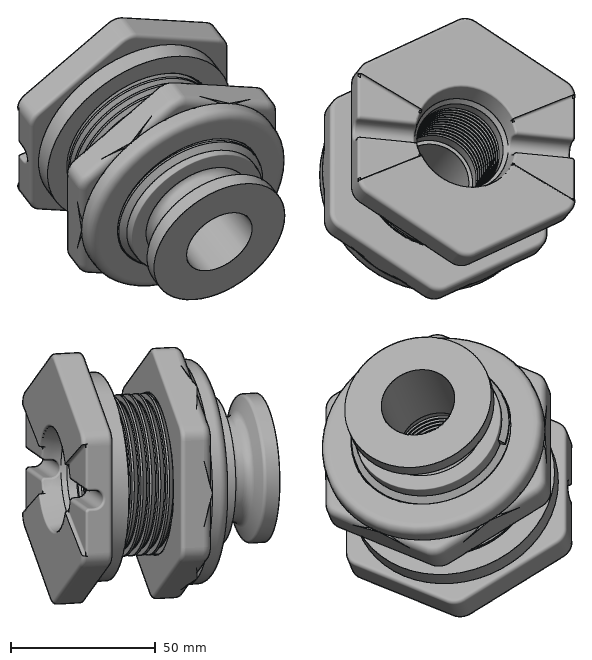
import cadquery as cq
import math

across_flats = 77.95
corner_height = 88.1
hex_thickness = 11.0
edge_round = 1.5
overlap = 0.4

recess_depth = 1.3
recess_half_angle = 27.0
recess_round = 0.9
slot_radius = 3.2
slot_depth = 7.6
slot_lip_round = 1.3

fitting_length = 74.6
shank_radius = 51.8 / 2
shank_end = 58.8
shank_end_round = 0.35
neck_radius = 36.55 / 2
neck_start = 62.0
neck_end = 64.0
neck_start_round = 3.5
neck_end_round = 3.2
flange_slope = 69.0
flange_round = 1.3

thread_height = 2.1
thread_pitch = 3.2
thread_crest_width = 0.8
thread_foot_width = 3.1
thread_start = 13.7
thread_turns = 12.8

bore_radius = 25.9 / 2
mouth_round = 0.8
mouth_radius = 36.55 / 2
mouth_floor_radius = 33.65 / 2
mouth_depth = 7.9
lead_in_radius = 31.0 / 2
lead_in_length = 1.8
pipe_end_radius = 28.6 / 2
pipe_end = 44.0
pipe_run_out = 2.6
pipe_pitch = 2.2
pipe_groove_depth = 1.1
pipe_groove_width = 1.9

gasket_radius = 72.4 / 2
gasket_bore_radius = 57.2 / 2
gasket_thickness = 6.4

nut_start = 35.7
nut_bore_radius = 56.55 / 2
nut_rear_round = 3.0
nut_collar_length = 6.25
nut_collar_round = 3.2
nut_pad_half_width = 11.45


def cylinder(radius, start, length):
    """Solid cylinder along X."""
    return cq.Workplane("YZ", origin=(start, 0, 0)).circle(radius).extrude(length)


def hexagon(start):
    """Hexagonal plate with rounded corners, two flats facing +Y and -Y."""
    flat_distance = across_flats / 2
    corner_distance = flat_distance / math.cos(math.radians(30))
    corner_round = (corner_distance - corner_height / 2) / (1 / math.cos(math.radians(30)) - 1)
    corners = [
        (corner_distance * math.sin(math.radians(60 * i)), corner_distance * math.cos(math.radians(60 * i)))
        for i in range(6)
    ]
    plate = cq.Workplane("YZ", origin=(start, 0, 0)).polyline(corners).close().extrude(hex_thickness)
    return plate.edges("|X").fillet(corner_round)


def helical_sweep(profile, helix):
    """Sweep a closed profile along a helix about Z, then turn the helix axis onto X."""
    swept = cq.Workplane("XZ").polyline(profile).close().sweep(cq.Workplane(helix), isFrenet=True)
    return swept.rotate((0, 0, 0), (0, 1, 0), 90)


def make_face_block():
    """Slotted and bored block whose front edges, all rounded, shape the head under its two recesses."""
    flat_distance = across_flats / 2
    depth = hex_thickness - recess_depth
    block = (
        cq.Workplane("YZ", origin=(recess_depth, 0, 0))
        .rect(across_flats, corner_height)
        .extrude(depth)
    )
    slot = (
        cq.Workplane("XZ")
        .moveTo(0, slot_radius)
        .lineTo(slot_depth - slot_radius, slot_radius)
        .threePointArc((slot_depth, 0), (slot_depth - slot_radius, -slot_radius))
        .lineTo(0, -slot_radius)
        .close()
        .extrude(corner_height, both=True)
    )
    block = block.cut(slot)
    lips = cq.selectors.BoxSelector(
        (0, -flat_distance, -corner_height / 4), (recess_depth + slot_lip_round, flat_distance, corner_height / 4))
    block = block.edges("|Y").edges(lips).fillet(slot_lip_round)
    block = block.cut(make_bore())

    block = block.faces(">Y or <Y").edges("not (>X or >Z or <Z)").fillet(recess_round)
    mouth = cq.selectors.BoxSelector(
        (0, -mouth_radius, -mouth_radius), (mouth_depth - 0.1, mouth_radius, mouth_radius), boundingbox=True)
    return block.edges(mouth).edges("not |X").fillet(mouth_round)


def make_head():
    """Hexagonal head with a recess on two sides and a wrench slot across it."""
    head = hexagon(0).faces("<X or >X").edges().fillet(edge_round)
    face_block = make_face_block()

    reach = corner_height / 2
    half_width = reach * math.tan(math.radians(recess_half_angle))
    for side in (1, -1):
        sector = [(0, 0), (side * reach, half_width), (side * reach, -half_width)]
        recess = (
            cq.Workplane("YZ", origin=(-overlap, 0, 0))
            .polyline(sector)
            .close()
            .extrude(overlap + recess_depth)
        )
        recess = recess.faces(">X").edges("not |Z").fillet(recess_round)
        relief = (
            cq.Workplane("YZ", origin=(recess_depth, 0, 0))
            .polyline(sector)
            .close()
            .extrude(hex_thickness - recess_depth)
            .cut(face_block)
        )
        head = head.cut(recess).cut(relief)
    return head


def make_shank():
    """Turned shank with a waisted neck and an end flange."""
    neck_start_height = neck_start_round - math.sqrt(neck_start_round**2 - (neck_start - shank_end) ** 2)
    slope = math.radians(flange_slope)

    flank_start = neck_end + neck_end_round * math.sin(slope)
    flank_start_radius = neck_radius + neck_end_round * (1 - math.cos(slope))
    flank_end_radius = shank_radius - flange_round * (1 - math.cos(slope))
    flank_end = flank_start + (flank_end_radius - flank_start_radius) / math.tan(slope)
    rim_start = flank_end + flange_round * math.sin(slope)

    profile = (
        cq.Workplane("XY")
        .moveTo(hex_thickness - overlap, 0)
        .lineTo(hex_thickness - overlap, shank_radius)
        .lineTo(shank_end - shank_end_round, shank_radius)
        .radiusArc((shank_end, shank_radius - shank_end_round), shank_end_round)
        .lineTo(shank_end, neck_radius + neck_start_height)
        .radiusArc((neck_start, neck_radius), -neck_start_round)
        .lineTo(neck_end, neck_radius)
        .radiusArc((flank_start, flank_start_radius), -neck_end_round)
        .lineTo(flank_end, flank_end_radius)
        .radiusArc((rim_start, shank_radius), flange_round)
        .lineTo(fitting_length, shank_radius)
        .lineTo(fitting_length, 0)
        .close()
    )
    return profile.revolve(360, (0, 0, 0), (1, 0, 0))


def make_male_thread():
    """Left-hand buttress thread, steep side towards the head."""
    crest_radius = shank_radius + thread_height
    profile = [
        (shank_radius - overlap, thread_start),
        (crest_radius, thread_start),
        (crest_radius, thread_start + thread_crest_width),
        (shank_radius - overlap, thread_start + thread_foot_width),
    ]
    helix = cq.Wire.makeHelix(
        thread_pitch, thread_pitch * thread_turns, shank_radius, center=cq.Vector(0, 0, thread_start), lefthand=True)
    return helical_sweep(profile, helix)


def make_bore():
    """Through bore with a rounded, tapered mouth and a tapered seat for the pipe thread."""
    lead_in_end = mouth_depth + lead_in_length
    profile = (
        cq.Workplane("XY")
        .moveTo(-overlap, 0)
        .lineTo(-overlap, mouth_radius + mouth_round)
        .lineTo(0, mouth_radius + mouth_round)
        .radiusArc((mouth_round, mouth_radius), -mouth_round)
        .lineTo(mouth_depth, mouth_floor_radius)
        .lineTo(lead_in_end, lead_in_radius)
        .lineTo(pipe_end, pipe_end_radius)
        .lineTo(pipe_end, bore_radius)
        .lineTo(fitting_length + overlap, bore_radius)
        .lineTo(fitting_length + overlap, 0)
        .close()
    )
    return profile.revolve(360, (0, 0, 0), (1, 0, 0))


def make_pipe_groove():
    """Right-hand tapered V groove of the pipe thread."""
    start = mouth_depth + lead_in_length + pipe_run_out
    length = pipe_end - start - 2 * pipe_pitch
    taper = math.degrees(math.atan((lead_in_radius - pipe_end_radius) / (pipe_end - mouth_depth - lead_in_length)))
    crest = start + pipe_groove_width / 2
    profile = [
        (lead_in_radius - overlap, start),
        (lead_in_radius + pipe_groove_depth, crest),
        (lead_in_radius - overlap, start + pipe_groove_width),
    ]
    helix = cq.Wire.makeHelix(
        pipe_pitch, length, lead_in_radius, center=cq.Vector(0, 0, start), angle=-taper)
    return helical_sweep(profile, helix)


def make_fitting():
    """Head, threaded shank, neck and end flange with the bore through them."""
    body = make_head().union(make_shank()).union(make_male_thread())
    return body.cut(make_bore()).cut(make_pipe_groove())


def make_gasket():
    """Plain ring pressed against the back of the head."""
    ring = cylinder(gasket_radius, hex_thickness, gasket_thickness)
    return ring.cut(cylinder(gasket_bore_radius, hex_thickness, gasket_thickness))


def make_nut():
    """Hexagonal nut with a round collar on its rear side and a plain clearance bore."""
    nut_rear = nut_start + hex_thickness
    flat_distance = across_flats / 2
    nut = hexagon(nut_start)
    nut = nut.faces("<X").edges().fillet(edge_round)
    nut = nut.faces(">X").edges().fillet(nut_rear_round)

    pad = (
        cq.Workplane("XY")
        .polyline([
            (nut_rear - nut_rear_round, nut_pad_half_width),
            (nut_rear, 0),
            (nut_rear - nut_rear_round, -nut_pad_half_width),
        ])
        .close()
        .extrude(flat_distance)
    )
    for i in range(6):
        nut = nut.union(pad.rotate((0, 0, 0), (1, 0, 0), 30 + 60 * i))

    collar = cylinder(flat_distance, nut_rear, nut_collar_length)
    nut = nut.union(collar.faces(">X").edges().fillet(nut_collar_round))
    return nut.cut(cylinder(nut_bore_radius, nut_start, hex_thickness + nut_collar_length))


fitting = make_fitting()
gasket = make_gasket()
nut = make_nut()

result = cq.Compound.makeCompound([fitting.val(), gasket.val(), nut.val()])